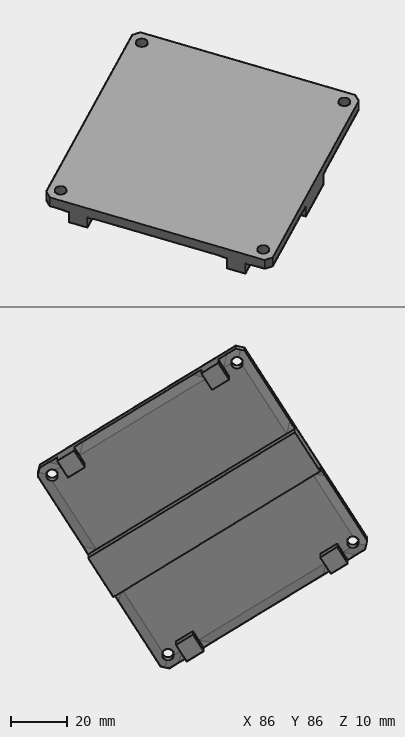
import cadquery as cq
import math

SIDE = 86.0
TOTAL_HEIGHT = 10.0
PLATE_THICKNESS = 4.9
CORNER_CUT = 2.2

HOLE_DIAMETER = 4.1
HOLE_SPACING = 76.9

FOOT_HEIGHT = TOTAL_HEIGHT - PLATE_THICKNESS
FOOT_WIDTH = 7.05
FOOT_DEPTH = 7.1
FOOT_SPACING = 59.9
CROSSBAR_WIDTH = 16.8
CROSSBAR_Y = -1.0

RELIEF_HEIGHT = 0.35
RELIEF_RUN = 3.4
RELIEF_OVERHANG = 8.6


def make_plate():
    """Square plate with cut corners."""
    plate = cq.Workplane("XY").workplane(offset=FOOT_HEIGHT)
    plate = plate.rect(SIDE, SIDE).extrude(PLATE_THICKNESS)
    return plate.edges("|Z").chamfer(CORNER_CUT)


def make_block(x, y, width, depth):
    """Rectangular block centred on (x, y), standing on the base plane."""
    return cq.Workplane("XY").center(x, y).rect(width, depth).extrude(FOOT_HEIGHT)


def make_relief(x_range, y_range):
    """Cutter over a rectangle of the underside, narrowing upward by the relief run."""
    x_min, x_max = x_range
    y_min, y_max = y_range
    slope = math.degrees(math.atan2(RELIEF_RUN, RELIEF_HEIGHT))
    return (
        cq.Workplane("XY")
        .workplane(offset=FOOT_HEIGHT)
        .center((x_min + x_max) / 2, (y_min + y_max) / 2)
        .rect(x_max - x_min, y_max - y_min)
        .extrude(RELIEF_HEIGHT, taper=slope)
    )


def cut_rim_relief(plate):
    """Relieve the rim everywhere between the feet and the crossbar ends."""
    outside = SIDE / 2 + RELIEF_OVERHANG
    inside = SIDE / 2 - RELIEF_RUN
    foot_inner = (FOOT_SPACING - FOOT_WIDTH) / 2
    foot_outer = foot_inner + FOOT_WIDTH
    bar_front = CROSSBAR_Y - CROSSBAR_WIDTH / 2
    bar_back = CROSSBAR_Y + CROSSBAR_WIDTH / 2
    x_stretches = [(-outside, -foot_outer), (-foot_inner, foot_inner), (foot_outer, outside)]
    y_stretches = [(-outside, bar_front), (bar_back, outside)]
    for rim in [(-outside, -inside), (inside, outside)]:
        for stretch in x_stretches:
            plate = plate.cut(make_relief(stretch, rim))
        for stretch in y_stretches:
            plate = plate.cut(make_relief(rim, stretch))
    return plate


result = cut_rim_relief(make_plate())

for foot_x in (-FOOT_SPACING / 2, FOOT_SPACING / 2):
    for side in (-1, 1):
        foot_y = side * (SIDE - FOOT_DEPTH) / 2
        result = result.union(make_block(foot_x, foot_y, FOOT_WIDTH, FOOT_DEPTH))

result = result.union(make_block(0, CROSSBAR_Y, SIDE, CROSSBAR_WIDTH))

result = (
    result.faces(">Z")
    .workplane(origin=(0, 0, TOTAL_HEIGHT))
    .rect(HOLE_SPACING, HOLE_SPACING, forConstruction=True)
    .vertices()
    .hole(HOLE_DIAMETER)
)